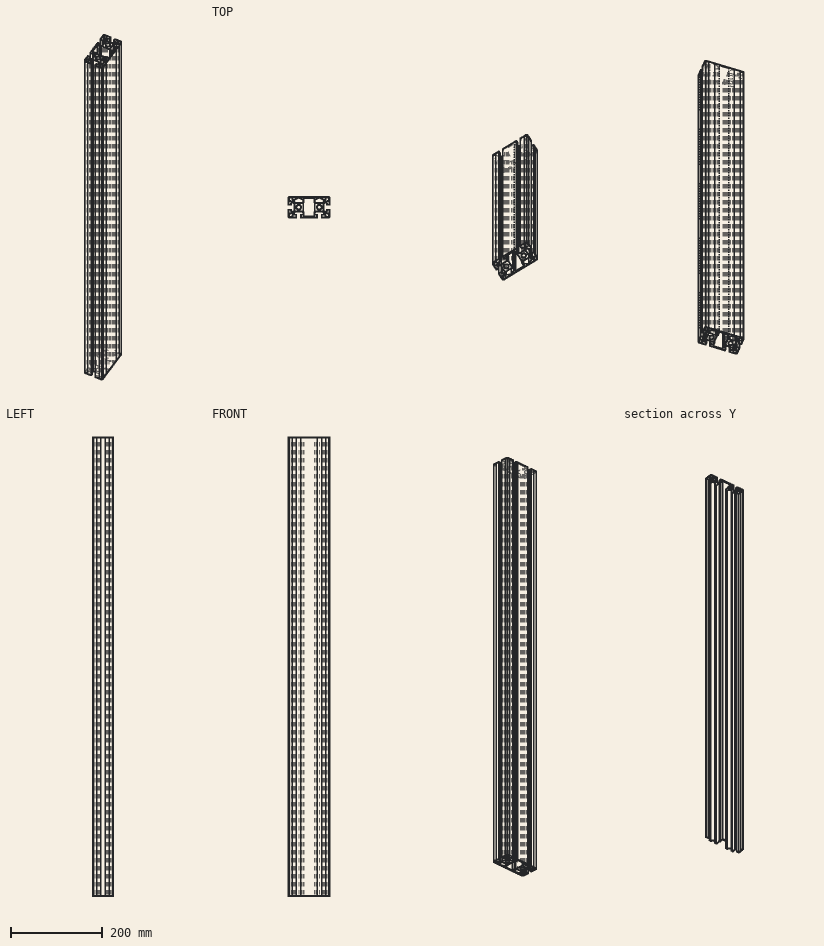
import cadquery as cq

width = 90.0
depth = 45.0
length = 1000.0
corner_radius = 3.0

half_cell = depth / 2
hub_half = 9.5
bore_diameter = 10.0

slot_floor_half_width = 7.0
slot_half_width = 10.0
slot_wide_start = 12.0
slot_wide_end = 16.0
slot_mouth_width = 10.0
slot_lip = 6.0
closed_slot_skin = 1.5

corner_wall = 1.5
chamber_side = 14.0
chamber_tip = 13.0

centre_wall = 2.5
centre_narrow_half_width = 11.0
centre_hub_reach = 10.0
centre_wide_half_width = half_cell - centre_hub_reach
centre_wide_half_height = 11.0


def prism(points):
    """Solid of the full length with the given outline."""
    return cq.Workplane("XY").polyline(points).close().extrude(length)


def symmetric_prism(right_half):
    """Prism symmetric about X = 0, from the right half of its outline listed end to end."""
    left_half = [(-x, y) for x, y in reversed(right_half) if x > 0]
    return prism(right_half + left_half)


def open_slot():
    """T-slot in the -Y side of a cell: a straight mouth, sloped lips and a wide channel."""
    mouth_half_width = slot_mouth_width / 2
    return symmetric_prism([
        (mouth_half_width, -half_cell),
        (mouth_half_width, -half_cell + slot_lip),
        (slot_half_width, -slot_wide_end),
        (slot_half_width, -slot_wide_start),
        (slot_floor_half_width, -hub_half),
    ])


def closed_slot():
    """Peaked chamber on the +Y side of a cell, covered by a thin skin."""
    return symmetric_prism([
        (slot_floor_half_width, hub_half),
        (slot_half_width, slot_wide_start),
        (slot_half_width, slot_wide_end),
        (0, half_cell - closed_slot_skin),
    ])


def corner_chamber():
    """Kite-shaped chamber in the (-X, -Y) corner of a cell."""
    outer = half_cell - corner_wall
    return prism([
        (-outer, -outer),
        (-chamber_side, -outer),
        (-chamber_tip, -chamber_tip),
        (-outer, -chamber_side),
    ])


def centre_chamber():
    """Chamber between the two hubs, wider beside them than beside the slots."""
    end = half_cell - centre_wall
    return symmetric_prism([
        (centre_narrow_half_width, -end),
        (centre_narrow_half_width, -centre_wide_half_height),
        (centre_wide_half_width, -centre_wide_half_height),
        (centre_wide_half_width, centre_wide_half_height),
        (centre_narrow_half_width, centre_wide_half_height),
        (centre_narrow_half_width, end),
    ])


def left_cell_cuts():
    """Everything removed from the cell at the -X end."""
    bore = cq.Workplane("XY").circle(bore_diameter / 2).extrude(length)
    side_slot = open_slot().rotate((0, 0, 0), (0, 0, 1), -90)
    cuts = bore.union(open_slot()).union(side_slot).union(closed_slot())
    cuts = cuts.union(corner_chamber()).union(corner_chamber().mirror("XZ"))
    return cuts.translate((-half_cell, 0, 0))


bar = cq.Workplane("XY").rect(width, depth).extrude(length)
bar = bar.edges("|Z").fillet(corner_radius)

left_cuts = left_cell_cuts()
right_cuts = left_cuts.mirror("YZ")
result = bar.cut(left_cuts).cut(right_cuts).cut(centre_chamber())